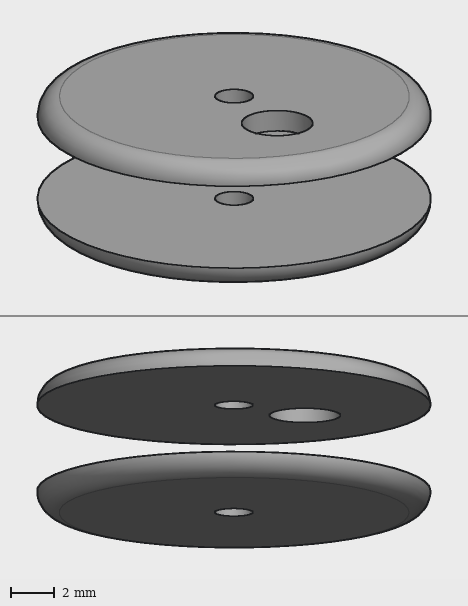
import cadquery as cq

disc_diameter = 18.0
disc_thickness = 1.0
disc_gap = 4.0
edge_radius = disc_thickness
axle_hole_diameter = 1.75
side_hole_diameter = 3.25
side_hole_offset = 4.0

disc_radius = disc_diameter / 2
flat_radius = disc_radius - edge_radius
upper_disc_base = disc_thickness + disc_gap


def rounded_disc():
    """Disc standing on Z = 0 with a quarter-round upper rim and an axle hole."""
    profile = (
        cq.Workplane("XZ")
        .lineTo(disc_radius, 0)
        .radiusArc((flat_radius, disc_thickness), -edge_radius)
        .lineTo(0, disc_thickness)
        .close()
    )
    disc = profile.revolve(360, (0, 0, 0), (0, 1, 0))
    axle_hole = cq.Workplane("XY").circle(axle_hole_diameter / 2).extrude(disc_thickness)
    return disc.cut(axle_hole)


def make_upper_disc():
    """Upper disc, rounded on top, with the off-centre hole."""
    side_hole = (
        cq.Workplane("XY")
        .center(side_hole_offset, 0)
        .circle(side_hole_diameter / 2)
        .extrude(disc_thickness)
    )
    return rounded_disc().cut(side_hole).translate((0, 0, upper_disc_base))


def make_lower_disc():
    """Lower disc, rounded underneath, with only the axle hole."""
    return rounded_disc().mirror("XY").translate((0, 0, disc_thickness))


upper_disc = make_upper_disc()
lower_disc = make_lower_disc()

result = cq.Compound.makeCompound([upper_disc.val(), lower_disc.val()])